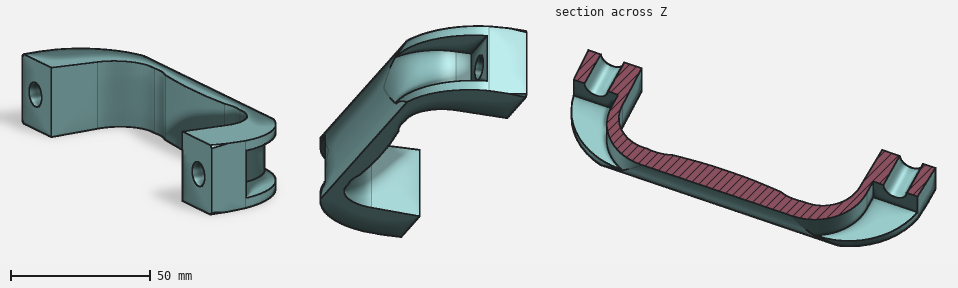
import cadquery as cq
import math

length = 136.0
height = 41.0
foot_width = 26.0

crown_edge_height = 38.0
crown_edge_width = 24.0

leg_outer_top = 14.3
leg_outer_draft = 0.6
shoulder_radius = 29.5
shoulder_center_y = 9.7

opening_half_width = 47.0
leg_inner_draft = 0.5
corner_radius = 14.5
corner_center_y = 18.7
corner_end_x = 30.6
groove_peak_x = 27.5
groove_peak_y = 33.4
grip_edge_x = 21.2
grip_edge_y = 32.2
grip_center_y = 31.0

hole_diameter = 9.0
hole_x = 58.5
pocket_width = 17.7
pocket_floor_y = 14.8
pocket_radius = 20.4
pocket_center_y = height - pocket_radius
pocket_wall_x = 50.0

bevel_size = 1.0
bevel_height = 7.0

clearance = 5.0

SIDES = (-1, 1)


def point_on_arc_at_x(center_x, center_y, radius, x):
    """Upper point of a circle at the given X."""
    return (x, center_y + math.sqrt(radius**2 - (x - center_x) ** 2))


def mirrored(point):
    return (-point[0], point[1])


def bow_blank():
    """Bow outline extruded over the full foot width."""
    foot_outer = (length / 2, 0)
    foot_inner = (opening_half_width, 0)

    leg_outer = (length / 2 - leg_outer_draft, leg_outer_top)
    shoulder_center_x = leg_outer[0] - math.sqrt(
        shoulder_radius**2 - (leg_outer_top - shoulder_center_y) ** 2
    )
    shoulder_top = (shoulder_center_x, shoulder_center_y + shoulder_radius)
    shoulder_mid_x = (leg_outer[0] + shoulder_center_x) / 2
    shoulder_mid = point_on_arc_at_x(
        shoulder_center_x, shoulder_center_y, shoulder_radius, shoulder_mid_x
    )
    back_end = (shoulder_center_x, height)

    leg_inner = (opening_half_width - leg_inner_draft, corner_center_y)
    corner_center_x = leg_inner[0] - corner_radius
    corner_mid_x = corner_center_x + corner_radius * math.cos(math.pi / 4)
    corner_mid = point_on_arc_at_x(corner_center_x, corner_center_y, corner_radius, corner_mid_x)
    corner_end = point_on_arc_at_x(corner_center_x, corner_center_y, corner_radius, corner_end_x)
    groove_peak = (groove_peak_x, groove_peak_y)
    grip_edge = (grip_edge_x, grip_edge_y)

    return (
        cq.Workplane("XY")
        .workplane(offset=-foot_width / 2)
        .moveTo(*foot_outer)
        .lineTo(*leg_outer)
        .threePointArc(shoulder_mid, shoulder_top)
        .lineTo(*back_end)
        .lineTo(*mirrored(back_end))
        .lineTo(*mirrored(shoulder_top))
        .threePointArc(mirrored(shoulder_mid), mirrored(leg_outer))
        .lineTo(*mirrored(foot_outer))
        .lineTo(*mirrored(foot_inner))
        .lineTo(*mirrored(leg_inner))
        .threePointArc(mirrored(corner_mid), mirrored(corner_end))
        .threePointArc(mirrored(groove_peak), mirrored(grip_edge))
        .threePointArc((0, grip_center_y), grip_edge)
        .threePointArc(groove_peak, corner_end)
        .threePointArc(corner_mid, leg_inner)
        .lineTo(*foot_inner)
        .close()
        .extrude(foot_width)
    )


def crowned_section():
    """Drafted, crowned cross-section swept along the full length."""
    return (
        cq.Workplane("YZ")
        .moveTo(0, -foot_width / 2)
        .lineTo(crown_edge_height, -crown_edge_width / 2)
        .threePointArc((height, 0), (crown_edge_height, crown_edge_width / 2))
        .lineTo(0, foot_width / 2)
        .close()
        .extrude(length / 2, both=True)
    )


def screw_pocket(side):
    """Pocket open to the shoulder, with a flat floor and a rounded inner wall."""
    arc_center_x = pocket_wall_x - pocket_radius
    reach = pocket_radius * math.cos(math.pi / 4)
    outside_x = length / 2 + clearance
    return (
        cq.Workplane("XY")
        .moveTo(side * outside_x, pocket_floor_y)
        .lineTo(side * pocket_wall_x, pocket_floor_y)
        .lineTo(side * pocket_wall_x, pocket_center_y)
        .threePointArc(
            (side * (arc_center_x + reach), pocket_center_y + reach),
            (side * arc_center_x, height),
        )
        .lineTo(side * arc_center_x, height + clearance)
        .lineTo(side * outside_x, height + clearance)
        .close()
        .extrude(pocket_width / 2, both=True)
    )


def screw_hole(side):
    """Through hole along Y from the foot to the pocket floor."""
    axis_start = cq.Vector(side * hole_x, -clearance, 0)
    depth = pocket_floor_y + 2 * clearance
    return cq.Solid.makeCylinder(hole_diameter / 2, depth, axis_start, cq.Vector(0, 1, 0))


def foot_bevel(side_x, side_z):
    """Wedge at an outer foot corner, tapering to nothing at the bevel height."""
    corner_x = side_x * length / 2
    corner_z = side_z * foot_width / 2
    z_lean = (foot_width - crown_edge_width) / 2 * bevel_height / crown_edge_height
    x_lean = leg_outer_draft * bevel_height / leg_outer_top
    corner = cq.Vector(corner_x, 0, corner_z)
    along_x = cq.Vector(corner_x - side_x * bevel_size, 0, corner_z)
    along_z = cq.Vector(corner_x, 0, corner_z - side_z * bevel_size)
    tip = cq.Vector(corner_x - side_x * x_lean, bevel_height, corner_z - side_z * z_lean)
    triangles = (
        (corner, along_x, along_z),
        (corner, along_x, tip),
        (corner, along_z, tip),
        (along_x, along_z, tip),
    )
    faces = [
        cq.Face.makeFromWires(cq.Wire.makePolygon(triangle, close=True))
        for triangle in triangles
    ]
    return cq.Solid.makeSolid(cq.Shell.makeShell(faces))


handle = bow_blank().intersect(crowned_section())
for side_x in SIDES:
    handle = handle.cut(screw_pocket(side_x))
    handle = handle.cut(screw_hole(side_x))
    for side_z in SIDES:
        handle = handle.cut(foot_bevel(side_x, side_z))

result = handle